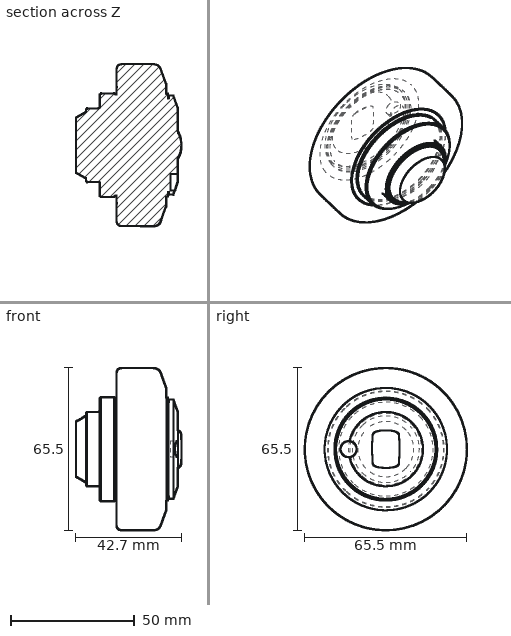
import cadquery as cq
import math


CONE_SLOPE = math.tan(math.radians(70))

nose_radius = 11.2
nose_base_radius = 13.5
shaft_start = 4.0
shaft_radius = 15.0
edge_chamfer = 0.5
root_fillet = 0.5

collar_start = 9.55
collar_radius = 21.0
neck_start = 15.9
neck_radius = collar_radius - edge_chamfer
lip_start = 16.25

roller_start = 16.3
roller_end = 36.4
roller_radius = 32.75
roller_end_radius = 24.7
roller_start_fillet = 2.0
roller_cone_fillet = 3.0
roller_cone_start = roller_end - (roller_radius - roller_end_radius) / CONE_SLOPE

groove_outer_radius = 23.5
groove_width = 0.25

washer_end = 37.2
washer_radius = 20.75
gap_width = 0.2
gap_radius = 19.0
cap_start = washer_end + gap_width
cap_end = 41.15
cap_radius = 20.05
cap_face_radius = 15.0
cap_cone_start = cap_end - (cap_radius - cap_face_radius) / CONE_SLOPE

hole_diameter = 6.5
hole_offset = cap_face_radius
hole_depth = 3.0

overall_length = 42.65
cross_radius = 11.0
cross_fillet = 2.0
cross_half_tread = 5.65
cross_crown_drop = 0.1
cross_axis_x = overall_length - cross_radius


def revolve_about_x(points):
    """Revolve a closed (x, radius) outline about the X axis."""
    return cq.Workplane("XY").polyline(points).close().revolve(360, (0, 0, 0), (1, 0, 0))


def make_shaft():
    chamfered_radius = shaft_radius - edge_chamfer
    root_start = collar_start - root_fillet
    root_outer_radius = shaft_radius + root_fillet
    arc_offset = root_fillet * math.sqrt(0.5)
    root_middle = (root_start + arc_offset, root_outer_radius - arc_offset)
    profile = (
        cq.Workplane("XY")
        .lineTo(0, nose_radius)
        .lineTo(shaft_start, nose_base_radius)
        .lineTo(shaft_start, chamfered_radius)
        .lineTo(shaft_start + edge_chamfer, shaft_radius)
        .lineTo(root_start, shaft_radius)
        .threePointArc(root_middle, (collar_start, root_outer_radius))
        .lineTo(collar_start, collar_radius - edge_chamfer)
        .lineTo(collar_start + edge_chamfer, collar_radius)
        .lineTo(neck_start - edge_chamfer, collar_radius)
        .lineTo(neck_start, neck_radius)
        .lineTo(lip_start, neck_radius)
        .lineTo(lip_start, collar_radius)
        .lineTo(roller_start, collar_radius)
        .lineTo(roller_start, 0)
        .close()
    )
    return profile.revolve(360, (0, 0, 0), (1, 0, 0))


def make_main_roller():
    roller = revolve_about_x([
        (roller_start, 0),
        (roller_start, roller_radius),
        (roller_cone_start, roller_radius),
        (roller_end, roller_end_radius),
        (roller_end, 0),
    ])
    roller = roller.faces("<X").edges().fillet(roller_start_fillet)
    cone_edge = cq.NearestToPointSelector((roller_cone_start, 0, roller_radius))
    roller = roller.edges("%CIRCLE").edges(cone_edge).fillet(roller_cone_fillet)
    groove = revolve_about_x([
        (roller_start, groove_outer_radius - groove_width),
        (roller_start, groove_outer_radius),
        (roller_start + groove_width, groove_outer_radius),
    ])
    return roller.cut(groove)


def make_end_cap():
    cap = revolve_about_x([
        (roller_end, 0),
        (roller_end, washer_radius),
        (washer_end, washer_radius),
        (washer_end, gap_radius),
        (cap_start, gap_radius),
        (cap_start, cap_radius),
        (cap_cone_start, cap_radius),
        (cap_end, cap_face_radius),
        (cap_end, 0),
    ])
    hole = (
        cq.Workplane("YZ", origin=(cap_end, -hole_offset, 0))
        .circle(hole_diameter / 2)
        .extrude(-hole_depth)
    )
    return cap.cut(hole)


def make_cross_roller():
    half_width = cross_half_tread + cross_fillet
    tread_edge_radius = cross_radius - cross_crown_drop
    flat_radius = tread_edge_radius - cross_fillet
    arc_offset = cross_fillet * math.sqrt(0.5)
    upper_middle = (flat_radius + arc_offset, cross_half_tread + arc_offset)
    lower_middle = (flat_radius + arc_offset, -cross_half_tread - arc_offset)
    profile = (
        cq.Workplane("XZ")
        .moveTo(0, -half_width)
        .lineTo(flat_radius, -half_width)
        .threePointArc(lower_middle, (tread_edge_radius, -cross_half_tread))
        .threePointArc((cross_radius, 0), (tread_edge_radius, cross_half_tread))
        .threePointArc(upper_middle, (flat_radius, half_width))
        .lineTo(0, half_width)
        .close()
    )
    return profile.revolve(360, (0, 0, 0), (0, 1, 0)).translate((cross_axis_x, 0, 0))


result = make_shaft().union(make_main_roller()).union(make_end_cap()).union(make_cross_roller())